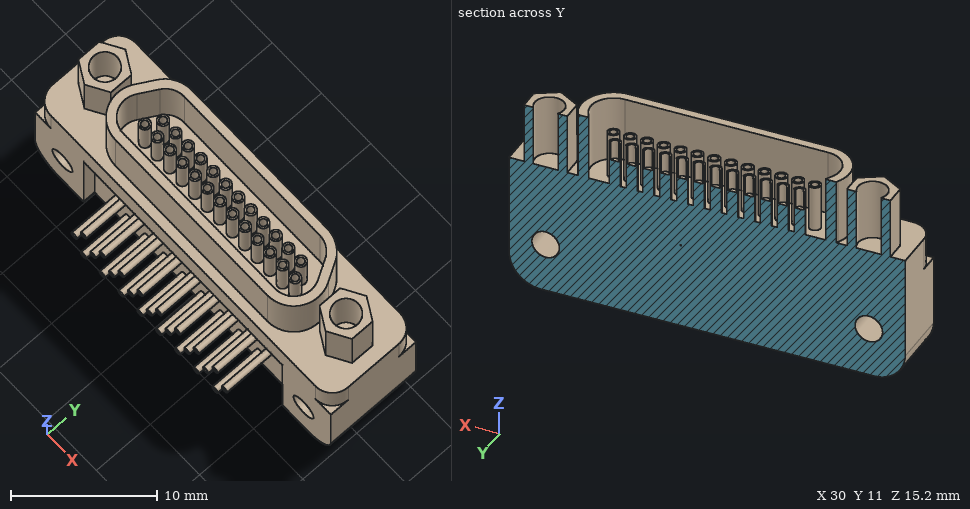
import cadquery as cq
import math

body_length = 30.0
body_depth = 7.9
body_height = 10.17
base_corner_radius = 2.4
front_y = -body_depth / 2

step_height = 2.45
step_radius = 1.6
step_z = body_height - step_height

recess_width = 20.17
recess_depth = 1.02

mount_spacing = 24.45
mount_hole_diameter = 2.05
mount_hole_z = 3.78
post_across_flats = 3.3
post_height = 4.62
post_bore_diameter = 2.22
hexagon_half_angle = 30.0

shell_length = 20.32
shell_depth = 6.33
shell_height = 4.98
shell_radius = 2.45
shell_wall = 0.72
shell_lean = math.radians(30)

row_span = 15.25

front_contact_count = 13
back_contact_count = front_contact_count - 1
contact_pitch = row_span / (front_contact_count - 1)
contact_front_y = -0.5
contact_row_gap = 1.1
contact_diameter = 0.87
contact_bore_diameter = 0.57
contact_height = 3.48
contact_bore_depth = 1.5

middle_tail_count = 9
outer_tail_count = middle_tail_count - 1
tail_pitch = row_span / (middle_tail_count - 1)
tail_diameter = 0.57
tail_length = 3.12


def row_points(count, pitch, offset):
    """Evenly spaced points centred on X = 0, all at the same second coordinate."""
    return [((i - (count - 1) / 2) * pitch, offset) for i in range(count)]


def make_body():
    lower = cq.Workplane("XY").box(body_length, body_depth, step_z, centered=(True, True, False))
    lower = lower.edges("|Y and <Z").fillet(base_corner_radius)
    upper = cq.Workplane("XY", origin=(0, 0, step_z)).rect(body_length, body_depth).extrude(step_height)
    return lower.union(upper.edges("|Z").fillet(step_radius))


def make_recess():
    return cq.Workplane("XZ", origin=(0, front_y + recess_depth, 0)).rect(
        recess_width, 2 * step_z
    ).extrude(recess_depth)


def make_mount_holes():
    return (
        cq.Workplane("XZ", origin=(0, -front_y, 0))
        .pushPoints(row_points(2, mount_spacing, mount_hole_z))
        .circle(mount_hole_diameter / 2)
        .extrude(body_depth)
    )


def d_prism(corner_radius):
    """Upright D-shaped prism: a trapezoid through the shell's corner centres, grown by the radius."""
    wide = shell_length / 2 - shell_radius
    half_depth = shell_depth / 2 - shell_radius
    narrow = wide - 2 * half_depth * math.tan(shell_lean)
    centres = [(-wide, -half_depth), (wide, -half_depth), (narrow, half_depth), (-narrow, half_depth)]
    outline = cq.Workplane("XY", origin=(0, 0, body_height)).polyline(centres).close()
    return outline.offset2D(corner_radius, "arc").extrude(shell_height)


def make_shell():
    return d_prism(shell_radius).cut(d_prism(shell_radius - shell_wall))


def make_post(x):
    across_corners = post_across_flats / math.cos(math.radians(hexagon_half_angle))
    return (
        cq.Workplane("XY", origin=(x, 0, body_height))
        .transformed(rotate=(0, 0, hexagon_half_angle))
        .polygon(6, across_corners)
        .circle(post_bore_diameter / 2)
        .extrude(post_height)
    )


def make_contacts(count, y):
    points = row_points(count, contact_pitch, y)
    sleeves = (
        cq.Workplane("XY", origin=(0, 0, body_height))
        .pushPoints(points)
        .circle(contact_diameter / 2)
        .extrude(contact_height)
    )
    bores = (
        cq.Workplane("XY", origin=(0, 0, body_height + contact_height))
        .pushPoints(points)
        .circle(contact_bore_diameter / 2)
        .extrude(-contact_bore_depth)
    )
    return sleeves.cut(bores)


def make_tails(count, z):
    return (
        cq.Workplane("XZ", origin=(0, front_y + recess_depth, 0))
        .pushPoints(row_points(count, tail_pitch, z))
        .circle(tail_diameter / 2)
        .extrude(recess_depth + tail_length)
    )


result = make_body().cut(make_recess()).cut(make_mount_holes())
result = result.union(make_shell())
for post_x in (-mount_spacing / 2, mount_spacing / 2):
    result = result.union(make_post(post_x))

result = result.union(make_contacts(front_contact_count, contact_front_y))
result = result.union(make_contacts(back_contact_count, contact_front_y + contact_row_gap))

result = result.union(make_tails(middle_tail_count, mount_hole_z))
for tail_z in (mount_hole_z - tail_pitch, mount_hole_z + tail_pitch):
    result = result.union(make_tails(outer_tail_count, tail_z))